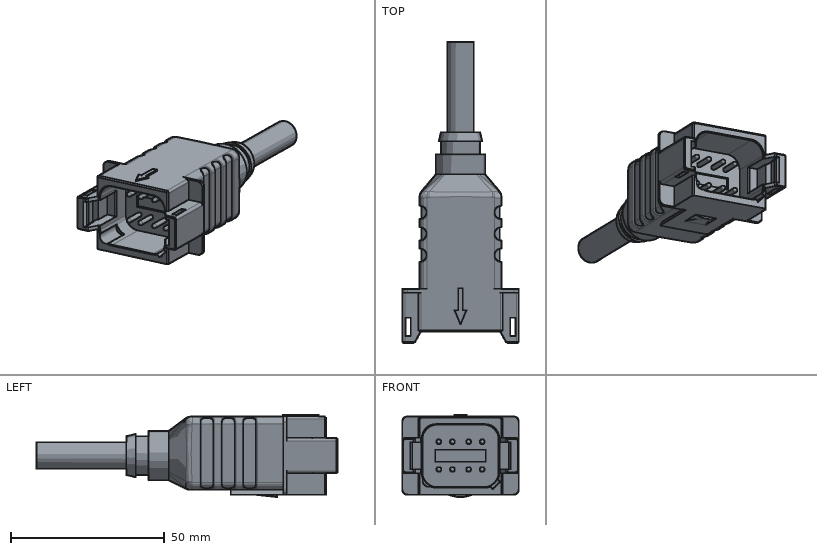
import cadquery as cq
import math

TOTAL_LENGTH = 98.25
TOP_Z = 12.8
TOUCHING = 0.001

FLANGE_FRONT, FLANGE_BACK = 16.5, 17.7
FLANGE_WIDTH = 38.0
FLANGE_CORNER = 1.7
HOUSING_WIDTH = 26.8
HOUSING_BOTTOM = -11.2
HOUSING_HEIGHT = TOP_Z - HOUSING_BOTTOM
HOUSING_MID_Z = (TOP_Z + HOUSING_BOTTOM) / 2
HOUSING_CORNER = 2.5
SHOULDER_Y = 48.7
SHOULDER_FILLET = 2.5

COLLAR_START, COLLAR_END = 55.0, 61.7
COLLAR_DIAMETER = 16.2
COLLAR_FILLET = 0.3
NECK_END = 65.8
NECK_DIAMETER = 12.8
RING_END = 68.9
RING_DIAMETER = 14.2
CABLE_DIAMETER = 8.7
CONE_CORNER_ANGLE = 41.0

GROOVE_WIDTH = 4.2
GROOVE_PITCH = 7.0
GROOVE_FIRST_Y = 28.7
GROOVE_COUNT = 3
GROOVE_RIM_ROUND = 0.3
GROOVE_DEPTH = 0.6
GROOVE_REACH_X = 11.1

SHROUD_FRONT = 3.7
SHROUD_WIDTH = 27.4
SHROUD_SIDE_ROUND = 0.8
SHROUD_FRONT_CHAMFER = 0.5
CAVITY_WIDTH, CAVITY_HEIGHT = 24.8, 20.2
CAVITY_MID_Z = -0.1
CAVITY_CORNER = 4.5
CAVITY_FLOOR = 19.65
CAVITY_LEAD_IN = 0.3

KEYWAY_END = 13.8
FLAT_KEYWAY_WIDTH = 3.3
FLAT_KEYWAY_X, FLAT_KEYWAY_Z = 11.7, -9.7
ROUND_KEYWAY_RADIUS = 2.2

PIN_DIAMETER = 1.6
PIN_TIP_Y = 12.4
PIN_COLUMNS = (2.7, 7.1)
PIN_ROW_Z = 4.5
SLOT_WIDTH, SLOT_HEIGHT, SLOT_DEPTH = 16.4, 3.9, 1.0

CLIP_HEIGHT = 11.5
CLIP_TIP_INNER_X = 15.0
CLIP_ROOT_X = 13.0
CLIP_EDGE_ROUND = 0.9
CLIP_TIP_CHAMFER = 0.4
CHANNEL_HEIGHT = 8.8
CHANNEL_END = 13.8
CHANNEL_END_BEVEL = 0.5
CATCH_X = 15.8
CATCH_TIP_X = 16.4
CATCH_LEAN_LENGTH = 1.2
WINDOW_INNER_X, WINDOW_OUTER_X = 16.3, 17.9
WINDOW_START, WINDOW_END = 2.4, 8.3

ARROW_HEIGHT = 0.5
ARROW_TIP_Y, ARROW_NECK_Y, ARROW_TAIL_Y = 6.1, 10.8, 17.9
ARROW_HEAD_WIDTH, ARROW_SHAFT_WIDTH = 3.9, 1.6

PLATE_WIDTH = 17.7
PLATE_ROOT_WIDTH = 15.7
PLATE_END = 34.9
RAMP_START, RAMP_END = 19.7, 27.0
RAMP_HEIGHT = 0.8
RAMP_WIDTH = 7.7


def block(x_min, x_max, y_min, y_max, z_min, z_max):
    """Box given by its limits along the three axes."""
    size = (x_max - x_min, y_max - y_min, z_max - z_min)
    return cq.Workplane("XY").box(*size, centered=False).translate((x_min, y_min, z_min))


def section(y):
    """Workplane across the cable axis; its X and Y are the part's X and Z, extruding goes to +Y."""
    return cq.Workplane(cq.Plane(origin=(0, y, 0), xDir=(1, 0, 0), normal=(0, -1, 0)))


def rounded_bar(width, height, corner, y_start, y_end, mid_z=0.0):
    """Bar along Y with a rounded rectangular section."""
    bar = section(y_start).center(0, mid_z).rect(width, height).extrude(y_start - y_end)
    return bar.edges("|Y").fillet(corner)


def rod(diameter, y_start, y_end, x=0.0, z=0.0):
    """Round bar along Y."""
    return section(y_start).center(x, z).circle(diameter / 2).extrude(y_start - y_end)


def both_sides(shape):
    """The shape together with its mirror image on the other side of the part."""
    return shape.union(shape.mirror("YZ"))


def cone_large_end():
    """Rounded rectangle of the housing, drawn from the left end of its top side."""
    half_width = HOUSING_WIDTH / 2
    flat_x = half_width - HOUSING_CORNER
    flat_top, flat_bottom = TOP_Z - HOUSING_CORNER, HOUSING_BOTTOM + HOUSING_CORNER
    bulge = HOUSING_CORNER * math.sqrt(0.5)
    return (
        section(SHOULDER_Y)
        .moveTo(-flat_x, TOP_Z)
        .lineTo(flat_x, TOP_Z)
        .threePointArc((flat_x + bulge, flat_top + bulge), (half_width, flat_top))
        .lineTo(half_width, flat_bottom)
        .threePointArc((flat_x + bulge, flat_bottom - bulge), (flat_x, HOUSING_BOTTOM))
        .lineTo(-flat_x, HOUSING_BOTTOM)
        .threePointArc((-flat_x - bulge, flat_bottom - bulge), (-half_width, flat_bottom))
        .lineTo(-half_width, flat_top)
        .threePointArc((-flat_x - bulge, flat_top + bulge), (-flat_x, TOP_Z))
        .close()
        .val()
    )


def cone_small_end():
    """Collar circle, split into eight arcs that match the sides and corners of the large end."""
    radius = COLLAR_DIAMETER / 2

    def on_circle(degrees):
        angle = math.radians(degrees)
        return (radius * math.sin(angle), radius * math.cos(angle))

    outline = section(COLLAR_START).moveTo(*on_circle(-CONE_CORNER_ANGLE))
    for side_angle in (0, 90, 180, 270):
        outline = outline.threePointArc(on_circle(side_angle), on_circle(side_angle + CONE_CORNER_ANGLE))
        outline = outline.threePointArc(
            on_circle(side_angle + 45), on_circle(side_angle + 90 - CONE_CORNER_ANGLE)
        )
    return outline.close().val()


def housing():
    body = rounded_bar(
        HOUSING_WIDTH, HOUSING_HEIGHT, HOUSING_CORNER, FLANGE_BACK, SHOULDER_Y, HOUSING_MID_Z
    )
    cone = cq.Workplane(cq.Solid.makeLoft([cone_large_end(), cone_small_end()], True))
    body = body.union(cone)
    near_shoulder = cq.selectors.BoxSelector(
        (-HOUSING_WIDTH, SHOULDER_Y - TOUCHING, -HOUSING_WIDTH),
        (HOUSING_WIDTH, SHOULDER_Y + TOUCHING, HOUSING_WIDTH),
    )
    return body.edges(near_shoulder).fillet(SHOULDER_FILLET)


def groove_cutter(y):
    """Upright slot through one side, with its round end towards the middle of the housing."""
    radius = GROOVE_WIDTH / 2
    end_x = GROOVE_REACH_X + radius
    end = cq.Workplane("XY").center(end_x, y).circle(radius).extrude(2 * TOP_Z, both=True)
    return end.union(block(end_x, HOUSING_WIDTH, y - radius, y + radius, -2 * TOP_Z, 2 * TOP_Z))


def groove_housing(body):
    """Cut the grooves to an even depth below the housing surface and round their rims."""
    core = rounded_bar(
        HOUSING_WIDTH - 2 * GROOVE_DEPTH,
        HOUSING_HEIGHT - 2 * GROOVE_DEPTH,
        HOUSING_CORNER - GROOVE_DEPTH,
        FLANGE_BACK,
        SHOULDER_Y,
        HOUSING_MID_Z,
    )
    cutters = [groove_cutter(GROOVE_FIRST_Y + index * GROOVE_PITCH) for index in range(GROOVE_COUNT)]
    cutters += [cutter.mirror("YZ") for cutter in cutters]
    for cutter in cutters:
        groove = cutter.cut(core)
        body = body.cut(groove)

        def is_rim(edge):
            middle = cq.Vertex.makeVertex(*edge.positionAt(0.5).toTuple())
            on_groove = groove.val().distance(middle) < TOUCHING
            return on_groove and core.val().distance(middle) > GROOVE_DEPTH / 2

        rim = [edge for edge in body.edges().vals() if is_rim(edge)]
        body = body.newObject(rim).fillet(GROOVE_RIM_ROUND)
    return body


def cable_end():
    collar = rod(COLLAR_DIAMETER, COLLAR_START, COLLAR_END).faces(">Y").edges().fillet(COLLAR_FILLET)
    neck = rod(NECK_DIAMETER, COLLAR_END, NECK_END)
    ring = section(NECK_END).circle(RING_DIAMETER / 2)
    ring = ring.workplane(offset=NECK_END - RING_END).circle(NECK_DIAMETER / 2).loft()
    cable = rod(CABLE_DIAMETER, RING_END, TOTAL_LENGTH)
    return collar.union(neck).union(ring).union(cable)


def flange():
    return rounded_bar(FLANGE_WIDTH, 2 * TOP_Z, FLANGE_CORNER, FLANGE_FRONT, FLANGE_BACK)


def shroud():
    half_width = SHROUD_WIDTH / 2
    shell = block(-half_width, half_width, SHROUD_FRONT, FLANGE_BACK, -TOP_Z, TOP_Z)
    shell = shell.edges("|Y and >Z").fillet(SHROUD_SIDE_ROUND)
    return shell.faces("<Y").edges("not <Z").chamfer(SHROUD_FRONT_CHAMFER)


def clip():
    outer_x = FLANGE_WIDTH / 2
    outline = [
        (outer_x, 0),
        (CLIP_TIP_INNER_X, 0),
        (CLIP_ROOT_X, SHROUD_FRONT),
        (CLIP_ROOT_X, FLANGE_FRONT),
        (outer_x, FLANGE_FRONT),
    ]
    body = cq.Workplane("XY").polyline(outline).close().extrude(CLIP_HEIGHT / 2, both=True)
    body = body.edges("|Y and >X").fillet(CLIP_EDGE_ROUND)
    return body.faces("<Y").edges().chamfer(CLIP_TIP_CHAMFER)


def clip_openings():
    """Channel from the cavity into the clip, with a recess behind the catch and a window across it."""
    half_height = CHANNEL_HEIGHT / 2
    cavity_wall_x = CAVITY_WIDTH / 2
    outline = [
        (0, 0),
        (CATCH_TIP_X, 0),
        (CATCH_X, CATCH_LEAN_LENGTH),
        (CATCH_X, CHANNEL_END),
        (cavity_wall_x + CHANNEL_END_BEVEL, CHANNEL_END),
        (cavity_wall_x, CHANNEL_END + CHANNEL_END_BEVEL),
        (0, CHANNEL_END + CHANNEL_END_BEVEL),
    ]
    channel = cq.Workplane("XY").polyline(outline).close().extrude(half_height, both=True)
    recess = block(CATCH_X, WINDOW_OUTER_X, WINDOW_START, WINDOW_END, -half_height, half_height)
    window = block(WINDOW_INNER_X, WINDOW_OUTER_X, WINDOW_START, WINDOW_END, -CLIP_HEIGHT, CLIP_HEIGHT)
    return both_sides(channel.union(recess).union(window))


def cavity():
    pocket = rounded_bar(
        CAVITY_WIDTH, CAVITY_HEIGHT, CAVITY_CORNER, SHROUD_FRONT, CAVITY_FLOOR, CAVITY_MID_Z
    )
    mouth = section(SHROUD_FRONT).add(pocket.faces("<Y").wires()).toPending()
    mouth = mouth.offset2D(CAVITY_LEAD_IN).extrude(-CAVITY_LEAD_IN, taper=45)

    keyway_length = KEYWAY_END - SHROUD_FRONT
    flat_keyway = section(SHROUD_FRONT).rect(FLAT_KEYWAY_WIDTH, FLAT_KEYWAY_WIDTH).extrude(-keyway_length)
    flat_keyway = flat_keyway.translate((0, 0, FLAT_KEYWAY_WIDTH / 2))
    flat_keyway = flat_keyway.rotate((0, 0, 0), (0, 1, 0), -45)
    flat_keyway = flat_keyway.translate((FLAT_KEYWAY_X, 0, FLAT_KEYWAY_Z))

    round_keyway = rod(
        2 * ROUND_KEYWAY_RADIUS,
        SHROUD_FRONT,
        KEYWAY_END,
        ROUND_KEYWAY_RADIUS - CAVITY_WIDTH / 2,
        CAVITY_MID_Z + ROUND_KEYWAY_RADIUS - CAVITY_HEIGHT / 2,
    )
    slot = section(CAVITY_FLOOR).center(0, CAVITY_MID_Z).rect(SLOT_WIDTH, SLOT_HEIGHT).extrude(-SLOT_DEPTH)
    return pocket.union(mouth).union(flat_keyway).union(round_keyway).union(slot)


def contacts():
    """Round pins with domed tips, four in each row."""
    radius = PIN_DIAMETER / 2
    dome_y = PIN_TIP_Y + radius
    pins = cq.Workplane("XY")
    for x in PIN_COLUMNS:
        for z in (-PIN_ROW_Z, PIN_ROW_Z):
            pin = rod(PIN_DIAMETER, dome_y, CAVITY_FLOOR + SLOT_DEPTH, x, z)
            dome = cq.Workplane("XY").sphere(radius).translate((x, dome_y, z))
            pins = pins.add(pin.union(dome))
    return both_sides(pins.combine())


def arrow():
    half_head, half_shaft = ARROW_HEAD_WIDTH / 2, ARROW_SHAFT_WIDTH / 2
    outline = [
        (0, ARROW_TIP_Y),
        (half_head, ARROW_NECK_Y),
        (half_shaft, ARROW_NECK_Y),
        (half_shaft, ARROW_TAIL_Y),
        (-half_shaft, ARROW_TAIL_Y),
        (-half_shaft, ARROW_NECK_Y),
        (-half_head, ARROW_NECK_Y),
    ]
    return cq.Workplane("XY").workplane(offset=TOP_Z).polyline(outline).close().extrude(ARROW_HEIGHT)


def latch():
    """Plate under the housing with a crowned ramp that deepens towards the mating end."""
    half_width = RAMP_WIDTH / 2
    plate_outline = [
        (-PLATE_WIDTH / 2, -TOP_Z),
        (PLATE_WIDTH / 2, -TOP_Z),
        (PLATE_ROOT_WIDTH / 2, HOUSING_BOTTOM),
        (-PLATE_ROOT_WIDTH / 2, HOUSING_BOTTOM),
    ]
    plate = section(FLANGE_FRONT).polyline(plate_outline).close().extrude(FLANGE_FRONT - PLATE_END)
    wedge = (
        cq.Workplane("YZ")
        .polyline([(RAMP_START, -TOP_Z), (RAMP_END, -TOP_Z), (RAMP_START, -TOP_Z - RAMP_HEIGHT)])
        .close()
        .extrude(half_width, both=True)
    )
    crown = (
        section(RAMP_START)
        .moveTo(-half_width, -TOP_Z)
        .threePointArc((0, -TOP_Z - RAMP_HEIGHT), (half_width, -TOP_Z))
        .close()
        .extrude(RAMP_START - RAMP_END)
    )
    return plate.union(wedge.intersect(crown))


result = groove_housing(housing())
for feature in (cable_end(), flange(), shroud(), both_sides(clip()), latch(), arrow()):
    result = result.union(feature)
result = result.cut(cavity()).cut(clip_openings()).union(contacts())